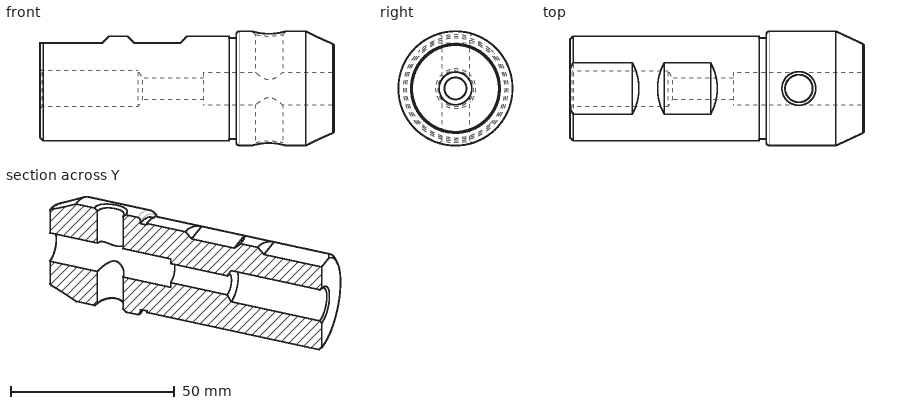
import cadquery as cq
import math

total_length = 90.0
shank_end = 57.9
collar_start = 60.0
nose_start = 81.4
cross_hole_position = 70.0

shank_diameter = 32.0
groove_diameter = 31.0
collar_diameter = 35.0
nose_diameter = 27.4
edge_chamfer = 1.0
collar_fillet = 1.0
nose_chamfer = 0.45

flat_height = 13.95
end_flat_length = 19.1
middle_flat_start = 28.9
middle_flat_end = 43.0
ramp_rise = 4.5
flat_cut_width = collar_diameter

through_diameter = 6.7
rear_bore_diameter = 11.0
rear_bore_depth = 30.0
rear_tip_angle = 118.0
rear_mouth_chamfer = 0.6
tool_bore_diameter = 10.0
tool_bore_depth = 40.0
cross_hole_diameter = 8.4


def turned_body():
    """Shank, relief groove, collar and tapered nose, revolved about X."""
    shank_radius = shank_diameter / 2
    groove_radius = groove_diameter / 2
    collar_radius = collar_diameter / 2
    nose_radius = nose_diameter / 2
    fillet_middle = collar_fillet * (1 - 0.5 ** 0.5)
    return (
        cq.Workplane("XY")
        .moveTo(0, 0)
        .lineTo(0, shank_radius - edge_chamfer)
        .lineTo(edge_chamfer, shank_radius)
        .lineTo(shank_end, shank_radius)
        .lineTo(shank_end, groove_radius)
        .lineTo(collar_start, groove_radius)
        .lineTo(collar_start, collar_radius - collar_fillet)
        .threePointArc(
            (collar_start + fillet_middle, collar_radius - fillet_middle),
            (collar_start + collar_fillet, collar_radius),
        )
        .lineTo(nose_start, collar_radius)
        .lineTo(total_length - nose_chamfer, nose_radius)
        .lineTo(total_length, nose_radius - nose_chamfer)
        .lineTo(total_length, 0)
        .close()
        .revolve(360, (0, 0, 0), (1, 0, 0))
    )


def flat_cutter(start, end):
    """Prism that leaves a flat from start to end, ramping outward at 45 degrees."""
    top = flat_height + ramp_rise
    return (
        cq.Workplane("XZ")
        .polyline([
            (start, flat_height),
            (end, flat_height),
            (end + ramp_rise, top),
            (start - ramp_rise, top),
        ])
        .close()
        .extrude(flat_cut_width / 2, both=True)
    )


def cut_cross_hole(body):
    """Screw hole through the collar along Z, chamfered at both mouths."""
    drill = (
        cq.Workplane("XY")
        .center(cross_hole_position, 0)
        .circle(cross_hole_diameter / 2)
        .extrude(collar_diameter, both=True)
    )
    reach = cross_hole_diameter / 2 + edge_chamfer
    mouths = cq.selectors.BoxSelector(
        (cross_hole_position - reach, -reach, -collar_diameter),
        (cross_hole_position + reach, reach, collar_diameter),
        boundingbox=True,
    )
    return body.cut(drill).edges(mouths).chamfer(edge_chamfer)


def cut_axial_bores(body):
    """Through hole, rear bore with a drill-point floor, and tool bore in the nose."""
    rear_face = cq.Workplane("YZ")
    through = rear_face.circle(through_diameter / 2).extrude(total_length)
    rear_bore = rear_face.circle(rear_bore_diameter / 2).extrude(rear_bore_depth)
    radius_step = (rear_bore_diameter - through_diameter) / 2
    tip_depth = radius_step / math.tan(math.radians(rear_tip_angle / 2))
    rear_tip = (
        rear_face.workplane(offset=rear_bore_depth)
        .circle(rear_bore_diameter / 2)
        .workplane(offset=tip_depth)
        .circle(through_diameter / 2)
        .loft()
    )
    rear_chamfer = (
        rear_face.circle(rear_bore_diameter / 2 + rear_mouth_chamfer)
        .extrude(rear_mouth_chamfer, taper=45)
    )
    tool_bore = (
        rear_face.workplane(offset=total_length - tool_bore_depth)
        .circle(tool_bore_diameter / 2)
        .extrude(tool_bore_depth)
    )
    for cutter in (through, rear_bore, rear_tip, rear_chamfer, tool_bore):
        body = body.cut(cutter)
    return body


body = turned_body()
body = body.cut(flat_cutter(0, end_flat_length))
body = body.cut(flat_cutter(middle_flat_start, middle_flat_end))
body = cut_cross_hole(body)
result = cut_axial_bores(body)